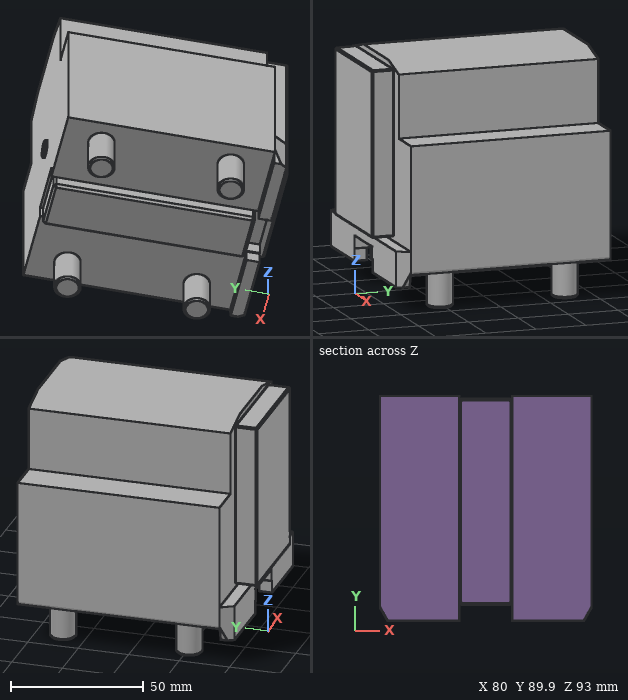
import cadquery as cq
import math

total_height = 93.0
pin_length = 10.0
clamp_bottom = pin_length
body_bottom = 15.0
key_top = 20.0
clamp_top = 24.0
shoulder_height = 65.0
roof_edge_height = 89.8

body_width = 80.0
body_depth = 80.0
upper_width = 52.0
side_taper = math.tan(math.radians(15))
side_taper_start = 16.0
front_y = -body_depth / 2
rear_y = body_depth / 2

clamp_thickness = 5.0
clamp_corner_width = 2.9
clamp_slot_width = 20.8

key_width = 20.0
key_length = 78.0
key_chamfer = 1.0

cover_width = 42.0
cover_height = 65.0
cover_top = 91.0
cover_thickness = 9.0
cover_chamfer = 0.6

pin_diameter = 10.0
pin_chamfer = 0.7
pin_spacing_x = 60.2
pin_spacing_y = 50.0

button_diameter = 6.9
button_thickness = 0.9
button_chamfer = 0.5
button_height = 42.9


def box(width, depth, bottom, top, center_y=0.0):
    """Box centred on X, spanning the given heights."""
    return (
        cq.Workplane("XY", origin=(0, center_y, bottom))
        .box(width, depth, top - bottom, centered=(True, True, False))
    )


def tapered_half_width(height):
    """Half width of the lower sides, which lean inward below the taper start."""
    return body_width / 2 - (side_taper_start - height) * side_taper


def make_body():
    """Stepped block with a bevelled roof, tapered lower sides and a keyway."""
    half_width = body_width / 2
    half_upper = upper_width / 2
    half_roof = half_upper - (total_height - roof_edge_height) / side_taper
    right_side = [
        (tapered_half_width(body_bottom), body_bottom),
        (half_width, side_taper_start),
        (half_width, shoulder_height),
        (half_upper, shoulder_height),
        (half_upper, roof_edge_height),
        (half_roof, total_height),
    ]
    left_side = [(-x, z) for x, z in reversed(right_side)]
    block = (
        cq.Workplane("XZ", origin=(0, rear_y, 0))
        .polyline(right_side + left_side)
        .close()
        .extrude(body_depth)
    )
    return block.cut(box(key_width, body_depth, body_bottom, key_top))


def make_clamp():
    """Front strip with bevelled corners, tapered ends and a stepped slot for the key."""
    half_width = body_width / 2
    center_y = front_y - clamp_thickness / 2
    outer_y = front_y - clamp_thickness
    plan = (
        cq.Workplane("XY", origin=(0, 0, clamp_bottom))
        .polyline([
            (-half_width, front_y),
            (-half_width + clamp_corner_width, outer_y),
            (half_width - clamp_corner_width, outer_y),
            (half_width, front_y),
        ])
        .close()
        .extrude(clamp_top - clamp_bottom)
    )
    half_bottom = tapered_half_width(clamp_bottom)
    end_profile = (
        cq.Workplane("XZ", origin=(0, front_y, 0))
        .polyline([
            (-half_bottom, clamp_bottom),
            (half_bottom, clamp_bottom),
            (half_width, side_taper_start),
            (half_width, clamp_top),
            (-half_width, clamp_top),
            (-half_width, side_taper_start),
        ])
        .close()
        .extrude(clamp_thickness)
    )
    return (
        plan.intersect(end_profile)
        .cut(box(key_width, clamp_thickness, clamp_bottom, key_top, center_y))
        .cut(box(clamp_slot_width, clamp_thickness, clamp_bottom, body_bottom, center_y))
    )


def make_key():
    """Bottom key, chamfered on every edge."""
    return box(key_width, key_length, clamp_bottom, key_top).edges().chamfer(key_chamfer)


def make_cover():
    """Front cover plate, chamfered on every edge."""
    center_y = front_y - cover_thickness / 2
    plate = box(cover_width, cover_thickness, cover_top - cover_height, cover_top, center_y)
    return plate.edges().chamfer(cover_chamfer)


def make_pins():
    """Four pins reaching down from the bottom of the body."""
    return (
        cq.Workplane("XY")
        .rect(pin_spacing_x, pin_spacing_y, forConstruction=True)
        .vertices()
        .circle(pin_diameter / 2)
        .extrude(body_bottom)
        .faces("<Z")
        .chamfer(pin_chamfer)
    )


def make_button():
    """Small round button on the rear face."""
    return (
        cq.Workplane("XZ", origin=(0, rear_y, button_height))
        .circle(button_diameter / 2)
        .extrude(-button_thickness)
        .faces(">Y")
        .chamfer(button_chamfer)
    )


result = (
    make_body()
    .union(make_clamp())
    .union(make_key())
    .union(make_cover())
    .union(make_pins())
    .union(make_button())
)